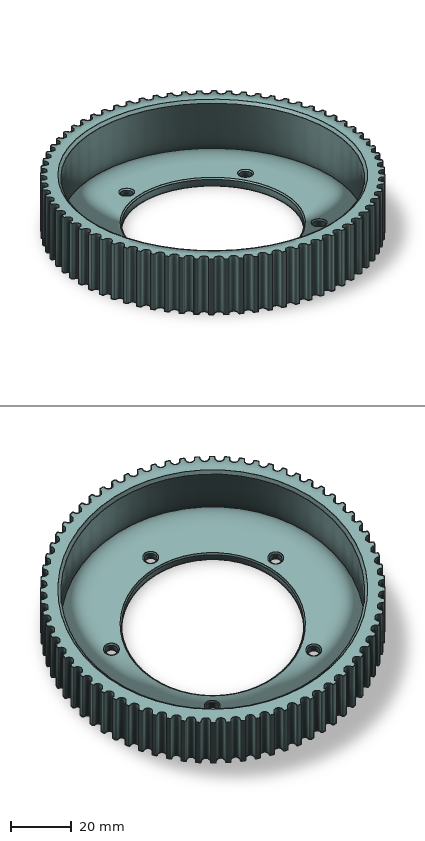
import cadquery as cq
import math

TOOTH_COUNT = 72
BELT_PITCH = 5.0
PITCH_LINE_OFFSET = 0.5715
TIP_RADIUS = TOOTH_COUNT * BELT_PITCH / (2 * math.pi) - PITCH_LINE_OFFSET
GROOVE_DEPTH = 2.06
GROOVE_RADIUS = 1.55
TIP_FILLET = 0.43

HEIGHT = 21.0
FLOOR_THICKNESS = 3.0
CUP_RADIUS = 50.0
CUP_CHAMFER = 1.0

BORE_RADIUS = 30.0
BORE_CHAMFER = 0.5

HOLE_COUNT = 5
HOLE_CIRCLE_RADIUS = 35.0
HOLE_RADIUS = 2.1
HOLE_CHAMFER = 0.5
FIRST_HOLE_ANGLE = 90.0


def polar(radius, angle, center=(0, 0)):
    """Point at a distance and direction (in radians) from a center."""
    return (center[0] + radius * math.cos(angle), center[1] + radius * math.sin(angle))


def rotated(point, angle):
    """Turn a point about the origin by an angle in radians."""
    x, y = point
    cosine = math.cos(angle)
    sine = math.sin(angle)
    return (x * cosine - y * sine, x * sine + y * cosine)


def mirrored(point):
    """Reflect a point across the Y axis."""
    return (-point[0], point[1])


def toothed_blank():
    """Solid disc whose rim has round-bottomed belt grooves and rounded tooth tips."""
    root_radius = TIP_RADIUS - GROOVE_DEPTH
    groove_y = root_radius + GROOVE_RADIUS
    rim_to_fillet = TIP_RADIUS - TIP_FILLET
    groove_to_fillet = GROOVE_RADIUS + TIP_FILLET
    fillet_y = (rim_to_fillet**2 - groove_to_fillet**2 + groove_y**2) / (2 * groove_y)
    fillet_x = math.sqrt(rim_to_fillet**2 - fillet_y**2)
    rim_direction = math.atan2(fillet_y, fillet_x)
    flank_direction = math.atan2(fillet_y - groove_y, fillet_x)
    fillet_mid_direction = (rim_direction + flank_direction + math.pi) / 2

    tip_end = polar(TIP_RADIUS, rim_direction)
    fillet_mid = polar(TIP_FILLET, fillet_mid_direction, (fillet_x, fillet_y))
    flank = polar(GROOVE_RADIUS, flank_direction, (0, groove_y))
    root = (0, root_radius)

    tooth_angle = 2 * math.pi / TOOTH_COUNT
    tooth_tip = rotated((0, TIP_RADIUS), tooth_angle / 2)

    outline = cq.Workplane("XY").moveTo(*tip_end)
    for index in range(TOOTH_COUNT):
        angle = index * tooth_angle
        outline = (
            outline.threePointArc(rotated(fillet_mid, angle), rotated(flank, angle))
            .threePointArc(rotated(root, angle), rotated(mirrored(flank), angle))
            .threePointArc(rotated(mirrored(fillet_mid), angle), rotated(mirrored(tip_end), angle))
            .threePointArc(rotated(tooth_tip, angle), rotated(tip_end, angle + tooth_angle))
        )
    return outline.close().extrude(HEIGHT)


def chamfered_cutter(radius, chamfer, bottom, top):
    """Round cutter about the Z axis that widens at 45 degrees just below its top."""
    return (
        cq.Workplane("XZ")
        .moveTo(0, bottom)
        .lineTo(radius, bottom)
        .lineTo(radius, top - chamfer)
        .lineTo(radius + chamfer, top)
        .lineTo(0, top)
        .close()
        .revolve(360, (0, 0, 0), (0, 1, 0))
    )


cup = chamfered_cutter(CUP_RADIUS, CUP_CHAMFER, FLOOR_THICKNESS, HEIGHT)
bore = chamfered_cutter(BORE_RADIUS, BORE_CHAMFER, 0, FLOOR_THICKNESS)
screw_hole = chamfered_cutter(HOLE_RADIUS, HOLE_CHAMFER, 0, FLOOR_THICKNESS)

result = toothed_blank().cut(cup).cut(bore)
for hole_index in range(HOLE_COUNT):
    hole_angle = math.radians(FIRST_HOLE_ANGLE + hole_index * 360 / HOLE_COUNT)
    hole_x, hole_y = polar(HOLE_CIRCLE_RADIUS, hole_angle)
    result = result.cut(screw_hole.translate((hole_x, hole_y, 0)))